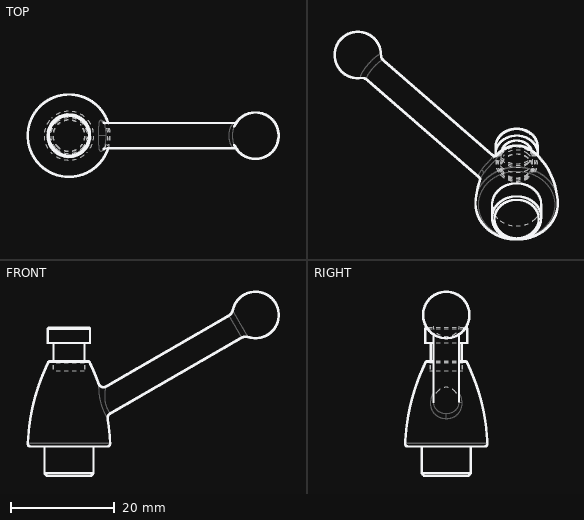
import cadquery as cq
import math

spigot_diameter = 9.5
spigot_chamfer = 0.5
body_diameter = 15.95
body_bottom = 5.6
rim_height = 0.75
rim_radius = 0.6
body_middle_radius = 6.85
body_middle_height = 14.15
body_shoulder_diameter = 8.0
body_top = 22.15
top_edge_chamfer = 0.25
neck_diameter = 6.0
neck_bore_diameter = 6.2
neck_bore_depth = 1.95
neck_bore_chamfer = 0.4
button_diameter = 8.2
button_bottom = 25.55
button_top = 28.55
button_chamfer = 0.25

rod_diameter = 4.95
rod_angle = 30.0
ball_diameter = 9.0
overall_length = 48.4
overall_height = 35.5
hub_joint_fillet = 0.95
ball_joint_fillet = 1.45

ball_radius = ball_diameter / 2
ball_x = overall_length - body_diameter / 2 - ball_radius
ball_z = overall_height - ball_radius
rod_start_z = ball_z - ball_x * math.tan(math.radians(rod_angle))
rod_length = ball_x / math.cos(math.radians(rod_angle))


def make_body():
    """Bell-shaped body with a rounded bottom rim and a bevelled top edge."""
    rim_top = body_bottom + rim_height
    shoulder_radius = body_shoulder_diameter / 2
    bell = (
        cq.Workplane("XZ")
        .moveTo(0, body_bottom)
        .lineTo(body_diameter / 2, body_bottom)
        .lineTo(body_diameter / 2, rim_top)
        .threePointArc(
            (body_middle_radius, body_middle_height),
            (shoulder_radius, body_top - top_edge_chamfer),
        )
        .lineTo(shoulder_radius - top_edge_chamfer, body_top)
        .lineTo(0, body_top)
        .close()
        .revolve(360, (0, 0, 0), (0, 1, 0))
    )
    return bell.faces("<Z").edges().fillet(rim_radius)


def make_rod():
    """Rod from the hub axis to the ball centre."""
    angle = math.radians(rod_angle)
    axis_plane = cq.Plane(
        origin=(0, 0, rod_start_z),
        xDir=(0, 1, 0),
        normal=(math.cos(angle), 0, math.sin(angle)),
    )
    return cq.Workplane(axis_plane).circle(rod_diameter / 2).extrude(rod_length)


def make_disc(diameter, bottom, top):
    return cq.Workplane("XY").workplane(offset=bottom).circle(diameter / 2).extrude(top - bottom)


def joint_edges(shape, x_min, x_max):
    """Edges whose centre lies within the given X range."""
    return shape.edges(cq.selectors.BoxSelector(
        (x_min, -body_diameter, 0), (x_max, body_diameter, overall_height)))


body_with_rod = make_body().union(make_rod())
hub_joint = joint_edges(body_with_rod, rod_diameter, ball_x / 2)
body_with_rod = hub_joint.fillet(hub_joint_fillet)

ball = cq.Workplane("XY").sphere(ball_radius).translate((ball_x, 0, ball_z))
lever = body_with_rod.union(ball)
ball_joint = joint_edges(lever, ball_x - ball_radius, ball_x - rod_diameter / 2)
lever = ball_joint.fillet(ball_joint_fillet)

bore_floor = body_top - neck_bore_depth
neck_bore = make_disc(neck_bore_diameter, bore_floor, body_top)
mouth_diameter = neck_bore_diameter + 2 * neck_bore_chamfer
bore_mouth = (
    cq.Workplane("XY")
    .workplane(offset=body_top - neck_bore_chamfer)
    .circle(neck_bore_diameter / 2)
    .workplane(offset=neck_bore_chamfer)
    .circle(mouth_diameter / 2)
    .loft()
)
lever = lever.cut(neck_bore).cut(bore_mouth)

spigot = make_disc(spigot_diameter, 0, body_bottom).faces("<Z").chamfer(spigot_chamfer)
neck = make_disc(neck_diameter, bore_floor, button_bottom)
button = make_disc(button_diameter, button_bottom, button_top).faces(">Z").chamfer(button_chamfer)

result = lever.union(spigot).union(neck).union(button)